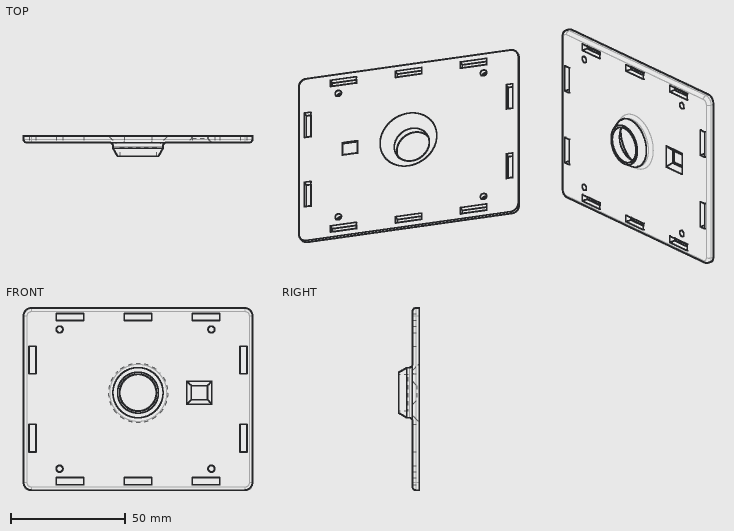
import cadquery as cq
import math

plate_width = 100.4
plate_height = 79.9
plate_thickness = 3.0
corner_radius = 3.5
rim_fillet = plate_thickness / 2

collar_z = 2.8
collar_diameter = 22.0
bore_diameter = 16.0
bore_straight_length = 4.0
bore_flare_angle = 45.0
collar_height = 6.0
collar_straight_height = 2.5
collar_root_fillet = 1.5
collar_taper_angle = 30.0

window_x = 26.9
window_z = collar_z
window_width = 7.0
window_height = 6.0
window_flare = 2.0
window_flare_depth = 2.0

slot_length = 12.0
slot_width = 3.0
slot_margin = 2.5
long_edge_slot_pitch = 29.8
short_edge_slot_spacing = 34.2

screw_hole_diameter = 2.8
screw_hole_center_x = -1.1
screw_hole_spacing_x = 66.5
screw_hole_spacing_z = 61.0

front_y = -plate_thickness


def make_plate():
    """Rectangular plate with round corners and a rounded front rim."""
    blank = cq.Workplane("XZ").rect(plate_width, plate_height).extrude(plate_thickness)
    blank = blank.edges("|Y").fillet(corner_radius)
    return blank.faces("<Y").edges().fillet(rim_fillet)


def make_collar():
    """Solid of revolution: filleted root, short cylinder, then a cone to the tip."""
    radius = collar_diameter / 2
    taper_length = collar_height - collar_straight_height
    tip_radius = radius - taper_length * math.tan(math.radians(collar_taper_angle))
    root_radius = radius + collar_root_fillet
    fillet_end_y = front_y - collar_root_fillet
    fillet_reach = collar_root_fillet * math.sin(math.radians(45))
    fillet_middle = (root_radius - fillet_reach, fillet_end_y + fillet_reach)
    profile = (
        cq.Workplane("XY")
        .lineTo(root_radius, 0)
        .lineTo(root_radius, front_y)
        .threePointArc(fillet_middle, (radius, fillet_end_y))
        .lineTo(radius, front_y - collar_straight_height)
        .lineTo(tip_radius, front_y - collar_height)
        .lineTo(0, front_y - collar_height)
        .close()
    )
    collar = profile.revolve(360, (0, 0, 0), (0, 1, 0))
    return collar.translate((0, 0, collar_z))


def make_bore():
    """Cutter for the opening: a cylinder at the tip that flares in a cone to the back face."""
    bore_radius = bore_diameter / 2
    tip_y = front_y - collar_height
    flare_start_y = tip_y + bore_straight_length
    back_radius = bore_radius - flare_start_y * math.tan(math.radians(bore_flare_angle))
    profile = (
        cq.Workplane("XY")
        .moveTo(0, tip_y)
        .lineTo(bore_radius, tip_y)
        .lineTo(bore_radius, flare_start_y)
        .lineTo(back_radius, 0)
        .lineTo(0, 0)
        .close()
    )
    bore = profile.revolve(360, (0, 0, 0), (0, 1, 0))
    return bore.translate((0, 0, collar_z))


def make_window():
    """Cutter for the window: straight at the back, flared towards the front."""
    opening = (
        cq.Workplane("XZ")
        .center(window_x, window_z)
        .rect(window_width, window_height)
        .extrude(plate_thickness)
    )
    flare = (
        cq.Workplane("XZ", origin=(0, front_y + window_flare_depth, 0))
        .center(window_x, window_z)
        .rect(window_width, window_height)
        .workplane(offset=window_flare_depth)
        .rect(window_width + 2 * window_flare, window_height + 2 * window_flare)
        .loft(ruled=True)
    )
    return opening.union(flare)


def make_slots():
    """Cutters for three slots on each long edge and two on each short edge."""
    inset = slot_margin + slot_width / 2
    slot_x = plate_width / 2 - inset
    slot_z = plate_height / 2 - inset
    long_edge_slots = (
        cq.Workplane("XZ")
        .rarray(long_edge_slot_pitch, 2 * slot_z, 3, 2)
        .rect(slot_length, slot_width)
        .extrude(plate_thickness)
    )
    short_edge_slots = (
        cq.Workplane("XZ")
        .rarray(2 * slot_x, short_edge_slot_spacing, 2, 2)
        .rect(slot_width, slot_length)
        .extrude(plate_thickness)
    )
    return long_edge_slots.union(short_edge_slots)


def make_screw_holes():
    """Cutters for the four screw holes."""
    return (
        cq.Workplane("XZ")
        .center(screw_hole_center_x, 0)
        .rarray(screw_hole_spacing_x, screw_hole_spacing_z, 2, 2)
        .circle(screw_hole_diameter / 2)
        .extrude(plate_thickness)
    )


result = make_plate().union(make_collar())
for cutter in (make_bore(), make_window(), make_slots(), make_screw_holes()):
    result = result.cut(cutter)